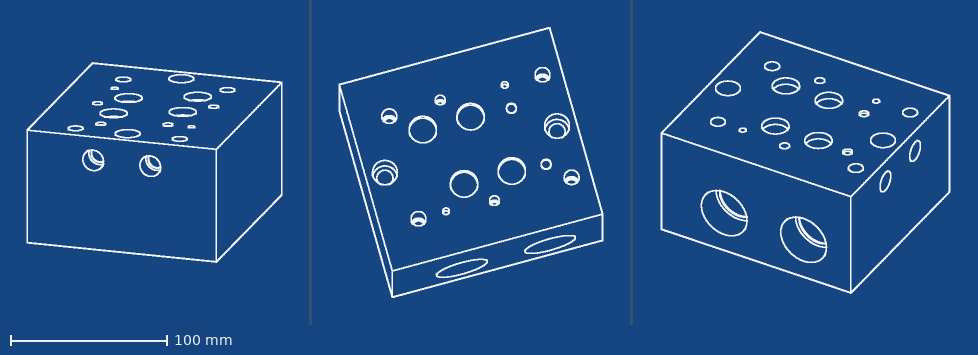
import cadquery as cq
import math

LENGTH_X = 127.0
WIDTH_Y = 139.7
HEIGHT_Z = 76.1

DRILL_POINT_ANGLE = 118.0

THREAD_DEPTH_RATIO = 2.0
DRILL_DEPTH_RATIO = 2.5

PORT_DRILL_OVERRUN = 0.8

MOUNT_DIAMETER = 10.3
MOUNT_COUNTERBORE_DIAMETER = 15.9
MOUNT_COUNTERBORE_DEPTH = MOUNT_COUNTERBORE_DIAMETER
MOUNT_Y = 57.1

BOLT_DIAMETER = 9.5
BOLT_DRILL_DIAMETER = 8.0
BOLT_X = 34.9
BOLT_BACK_Y = 44.5
BOLT_FRONT_Y = -MOUNT_Y

FLOW_PORT_DIAMETER = 17.5
FLOW_PORT_DEPTH = 5.0
FLOW_PORT_X = 20.7
FLOW_PORT_PITCH_Y = 31.7
LEFT_FLOW_BACK_Y = 10.3
LEFT_FLOW_FRONT_Y = LEFT_FLOW_BACK_Y - FLOW_PORT_PITCH_Y
RIGHT_FLOW_BACK_Y = 26.3
RIGHT_FLOW_FRONT_Y = RIGHT_FLOW_BACK_Y - FLOW_PORT_PITCH_Y

MIDDLE_BOLT_DIAMETER = 6.3
MIDDLE_BOLT_DRILL_DIAMETER = 5.2
MIDDLE_BOLT_X = 36.5

FRONT_PORT_DIAMETER = 13.8
FRONT_PORT_DRILL_DIAMETER = 10.8
FRONT_PORT_DEPTH = 12.7
FRONT_PORT_X = 19.1
FRONT_PORT_BELOW_TOP = 15.9

PILOT_DIAMETER = 6.3
PILOT_DEPTH = 1.8
RIGHT_PILOT_X = FRONT_PORT_X
RIGHT_PILOT_Y = -32.1
LEFT_PILOT_X = -22.2
LEFT_PILOT_Y = -43.7

PIN_DIAMETER = 4.3
PIN_DEPTH = 8.0

SIDE_PORT_DIAMETER = 33.7
SIDE_PORT_DRILL_DIAMETER = 28.6
SIDE_PORT_DEPTH = 19.0
SIDE_PORT_Z = 29.5
SIDE_PORT_BACK_Y = 23.6
SIDE_PORT_FRONT_Y = -34.9

INTO_TOP = cq.Vector(0, 0, -1)
INTO_FRONT = cq.Vector(0, 1, 0)
INTO_LEFT = cq.Vector(1, 0, 0)


def on_top(x, y):
    """Point on the top face."""
    return cq.Vector(x, y, HEIGHT_Z)


def bore(mouth, direction, diameter, depth):
    """Flat-ended cylinder from a point on a face into the block."""
    return cq.Solid.makeCylinder(diameter / 2, depth, mouth, direction)


def drilled_hole(mouth, direction, diameter, depth):
    """Cylinder of the given depth ending in a drill-point cone."""
    radius = diameter / 2
    cone_height = radius / math.tan(math.radians(DRILL_POINT_ANGLE / 2))
    cone = cq.Solid.makeCone(radius, 0, cone_height, mouth + direction * depth, direction)
    return bore(mouth, direction, diameter, depth).fuse(cone)


def stepped_port(mouth, direction, diameter, depth, drill_diameter):
    """Wide bore with a narrower drilled hole running just past its floor."""
    drill = drilled_hole(mouth, direction, drill_diameter, depth + PORT_DRILL_OVERRUN)
    return drill.fuse(bore(mouth, direction, diameter, depth))


def tapped_hole(x, y, diameter, drill_diameter):
    """Thread-diameter bore in the top face over a deeper tap-drill hole."""
    mouth = on_top(x, y)
    drill = drilled_hole(mouth, INTO_TOP, drill_diameter, DRILL_DEPTH_RATIO * diameter)
    return drill.fuse(bore(mouth, INTO_TOP, diameter, THREAD_DEPTH_RATIO * diameter))


def mounting_hole(y):
    """Through hole with a counterbore in the top face."""
    mouth = on_top(0, y)
    counterbore = bore(mouth, INTO_TOP, MOUNT_COUNTERBORE_DIAMETER, MOUNT_COUNTERBORE_DEPTH)
    return bore(mouth, INTO_TOP, MOUNT_DIAMETER, HEIGHT_Z).fuse(counterbore)


def front_port(x):
    """Stepped pilot port in the front face."""
    mouth = cq.Vector(x, -WIDTH_Y / 2, HEIGHT_Z - FRONT_PORT_BELOW_TOP)
    return stepped_port(mouth, INTO_FRONT, FRONT_PORT_DIAMETER, FRONT_PORT_DEPTH, FRONT_PORT_DRILL_DIAMETER)


def side_port(y):
    """Stepped work port in the left face."""
    mouth = cq.Vector(-LENGTH_X / 2, y, SIDE_PORT_Z)
    return stepped_port(mouth, INTO_LEFT, SIDE_PORT_DIAMETER, SIDE_PORT_DEPTH, SIDE_PORT_DRILL_DIAMETER)


corner_bolt_places = [(x, y) for x in (-BOLT_X, BOLT_X) for y in (BOLT_FRONT_Y, BOLT_BACK_Y)]
middle_bolt_places = [(-MIDDLE_BOLT_X, RIGHT_FLOW_FRONT_Y), (MIDDLE_BOLT_X, LEFT_FLOW_BACK_Y)]
flow_port_places = [
    (-FLOW_PORT_X, LEFT_FLOW_BACK_Y),
    (-FLOW_PORT_X, LEFT_FLOW_FRONT_Y),
    (FLOW_PORT_X, RIGHT_FLOW_BACK_Y),
    (FLOW_PORT_X, RIGHT_FLOW_FRONT_Y),
]
pilot_places = [(LEFT_PILOT_X, LEFT_PILOT_Y), (RIGHT_PILOT_X, RIGHT_PILOT_Y)]
pin_places = [(-BOLT_X, RIGHT_FLOW_BACK_Y), (BOLT_X, RIGHT_PILOT_Y)]

result = cq.Workplane("XY").box(LENGTH_X, WIDTH_Y, HEIGHT_Z, centered=(True, True, False))

for y in (-MOUNT_Y, MOUNT_Y):
    result = result.cut(mounting_hole(y))
for x, y in corner_bolt_places:
    result = result.cut(tapped_hole(x, y, BOLT_DIAMETER, BOLT_DRILL_DIAMETER))
for x, y in middle_bolt_places:
    result = result.cut(tapped_hole(x, y, MIDDLE_BOLT_DIAMETER, MIDDLE_BOLT_DRILL_DIAMETER))
for x, y in flow_port_places:
    result = result.cut(drilled_hole(on_top(x, y), INTO_TOP, FLOW_PORT_DIAMETER, FLOW_PORT_DEPTH))
for x, y in pilot_places:
    result = result.cut(drilled_hole(on_top(x, y), INTO_TOP, PILOT_DIAMETER, PILOT_DEPTH))
for x, y in pin_places:
    result = result.cut(drilled_hole(on_top(x, y), INTO_TOP, PIN_DIAMETER, PIN_DEPTH))

for x in (-FRONT_PORT_X, FRONT_PORT_X):
    result = result.cut(front_port(x))
for y in (SIDE_PORT_FRONT_Y, SIDE_PORT_BACK_Y):
    result = result.cut(side_port(y))